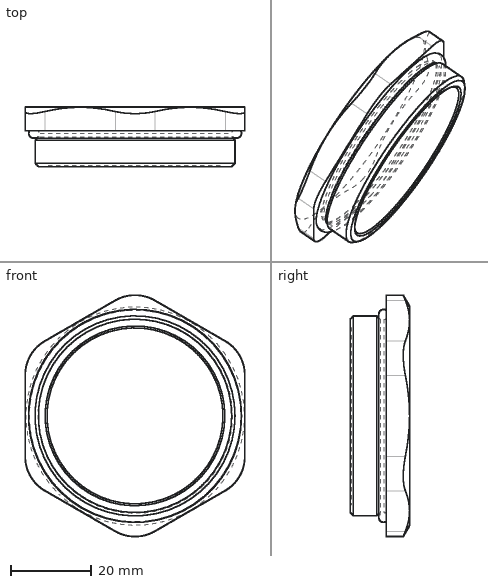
import cadquery as cq
import math

across_flats = 55.0
across_rounded_corners = 60.4
head_thickness = 6.0
bevel_start_diameter = 54.6
bevel_angle = 30.0

total_length = 15.0
plug_diameter = 50.0
neck_diameter = 48.3
plug_chamfer = (plug_diameter - neck_diameter) / 2
neck_length = 1.45

ring_outer_diameter = 53.3
ring_center_offset = 0.6

recess_rim_diameter = 44.95
recess_floor_diameter = 44.0
recess_depth = 0.35

plug_length = total_length - head_thickness


def revolve_about_y(profile):
    return profile.close().revolve(360, (0, 0, 0), (0, 1, 0))


def make_head():
    across_corners = across_flats / math.cos(math.pi / 6)
    corner_radius = (across_corners - across_rounded_corners) / 2 / (1 / math.cos(math.pi / 6) - 1)
    hexagon = (
        cq.Workplane("XZ")
        .transformed(rotate=(0, 0, 90))
        .polygon(6, across_corners)
        .extrude(-head_thickness)
        .edges("|Y")
        .fillet(corner_radius)
    )
    bevel_start_radius = bevel_start_diameter / 2
    outer_radius = across_corners / 2
    bevel_drop = (outer_radius - bevel_start_radius) * math.tan(math.radians(bevel_angle))
    envelope = revolve_about_y(
        cq.Workplane("XY")
        .lineTo(outer_radius, 0)
        .lineTo(outer_radius, head_thickness - bevel_drop)
        .lineTo(bevel_start_radius, head_thickness)
        .lineTo(0, head_thickness)
    )
    return hexagon.intersect(envelope)


def make_plug():
    plug_radius = plug_diameter / 2
    neck_radius = neck_diameter / 2
    return revolve_about_y(
        cq.Workplane("XY")
        .lineTo(neck_radius, 0)
        .lineTo(neck_radius, -neck_length)
        .lineTo(plug_radius, -neck_length - plug_chamfer)
        .lineTo(plug_radius, plug_chamfer - plug_length)
        .lineTo(plug_radius - plug_chamfer, -plug_length)
        .lineTo(recess_rim_diameter / 2, -plug_length)
        .lineTo(recess_floor_diameter / 2, recess_depth - plug_length)
        .lineTo(0, recess_depth - plug_length)
    )


def make_ring():
    section_radius = (ring_outer_diameter - neck_diameter) / 4
    section_center = neck_diameter / 2 + section_radius
    return (
        cq.Workplane("XY")
        .transformed(offset=(section_center, -ring_center_offset, 0), rotate=(0, 0, 180))
        .circle(section_radius)
        .revolve(360, (section_center, 0, 0), (section_center, 1, 0))
    )


result = make_head().union(make_plug()).union(make_ring())